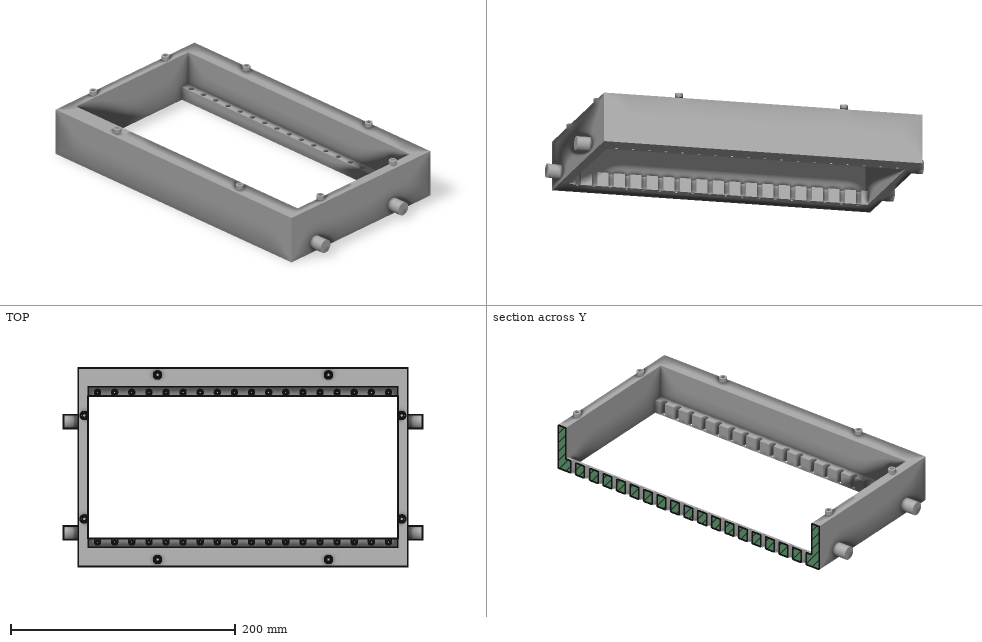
import cadquery as cq
overall_length = 320.5
frame_width = 177.2
frame_height = 45.0
trunnion_length = 13.0
frame_length = overall_length - 2 * trunnion_length
end_wall = 9.0
side_wall = 17.0
opening_length = frame_length - 2 * end_wall
opening_width = frame_width - 2 * side_wall

ledge_gap = 127.0
ledge_height = 12.8

ledge_hole_count = 18
ledge_hole_row = 259.5
ledge_hole_pitch = ledge_hole_row / (ledge_hole_count - 1)
ledge_hole_inset = 4.8
ledge_hole_y = opening_width / 2 - ledge_hole_inset
ledge_hole_diameter = 2.5
ledge_bore_diameter = 5.0
ledge_bore_depth = 12.5
slot_length = ledge_hole_y - ledge_gap / 2

trunnion_diameter = 12.5
trunnion_spacing = 99.3
trunnion_center_y = -9.0
trunnion_z = 9.5

screw_top = 50.3
head_diameter = 7.0
head_height = 4.0
head_fillet = 0.3
shank_diameter = 4.2
shank_depth = 12.8
socket_diameter = 4.0
socket_depth = 2.0
side_screw_x = 76.2
side_screw_y = 82.3
end_screw_x = 141.5
end_screw_y = 46.0
screw_places = [
    (sign_x * x, sign_y * y)
    for x, y in [(side_screw_x, side_screw_y), (end_screw_x, end_screw_y)]
    for sign_x in (-1, 1)
    for sign_y in (-1, 1)
]


def make_ring():
    """Rectangular frame with its ledges, standing on Z = 0."""
    opening_above = (
        cq.Workplane("XY", origin=(0, 0, ledge_height))
        .rect(opening_length, opening_width)
        .extrude(frame_height - ledge_height)
    )
    return (
        cq.Workplane("XY")
        .rect(frame_length, frame_width)
        .rect(opening_length, ledge_gap)
        .extrude(frame_height)
        .cut(opening_above)
    )


def make_trunnion(direction, side):
    """Round stub on the end wall that faces the given X direction."""
    center = (
        direction * frame_length / 2,
        trunnion_center_y + side * trunnion_spacing / 2,
        trunnion_z,
    )
    return (
        cq.Workplane("YZ", origin=center)
        .circle(trunnion_diameter / 2)
        .extrude(direction * trunnion_length)
    )


def ledge_row(y):
    """Workplane on top of a ledge with one point per hole."""
    return cq.Workplane("XY", origin=(0, y, ledge_height)).rarray(
        ledge_hole_pitch, 3.2, ledge_hole_count, 1
    )


def cut_ledge_holes(frame):
    """Counterbored holes in both ledges; those at -Y open into the gap through slots."""
    for side in (-1, 1):
        bores = ledge_row(side * ledge_hole_y).circle(ledge_bore_diameter / 2).extrude(-ledge_bore_depth)
        holes = ledge_row(side * ledge_hole_y).circle(ledge_hole_diameter / 2).extrude(-ledge_height)
        frame = frame.cut(bores).cut(holes)
    slots = (
        ledge_row(-ledge_hole_y + slot_length / 2)
        .rect(ledge_bore_diameter, slot_length)
        .extrude(-ledge_bore_depth)
    )
    return frame.cut(slots)


def make_frame():
    """Frame with trunnions, ledge holes and screw holes."""
    frame = make_ring()
    for direction in (-1, 1):
        for side in (-1, 1):
            frame = frame.union(make_trunnion(direction, side))
    screw_holes = (
        cq.Workplane("XY", origin=(0, 0, frame_height))
        .pushPoints(screw_places)
        .circle(shank_diameter / 2)
        .extrude(-shank_depth)
    )
    return cut_ledge_holes(frame).cut(screw_holes)


def make_screw(x, y):
    """Socket head screw whose head stands clear of the frame's top face."""
    head_z = screw_top - head_height
    head = (
        cq.Workplane("XY", origin=(x, y, head_z))
        .circle(head_diameter / 2)
        .extrude(head_height)
        .faces(">Z")
        .edges()
        .fillet(head_fillet)
    )
    shank = (
        cq.Workplane("XY", origin=(x, y, frame_height - shank_depth))
        .circle(shank_diameter / 2)
        .extrude(head_z - frame_height + shank_depth)
    )
    socket = (
        cq.Workplane("XY", origin=(x, y, screw_top))
        .circle(socket_diameter / 2)
        .extrude(-socket_depth)
    )
    return head.union(shank).cut(socket)


frame = make_frame()
screws = [make_screw(x, y).val() for x, y in screw_places]

result = cq.Compound.makeCompound([frame.val(), *screws])